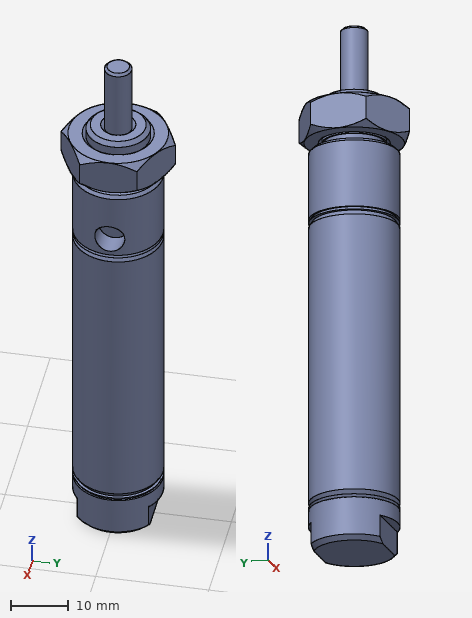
import cadquery as cq
import math


body_radius = 7.94
base_chamfer = 0.85
flat_height = 4.75
flat_spacing = 12.6
rear_crimp_low = 7.65
front_crimp_low = 59.5
crimp_tall, crimp_short = 0.9, 0.55
crimp_tall_depth, crimp_short_depth = 0.6, 0.35
shoulder_height = 73.6
shoulder_chamfer = 0.55

nose_radius = 5.6
nose_top = 83.4
nose_chamfer = 0.75
relief_radius = 5.33
rod_mouth_radius = 3.05

port_radius = 2.65
port_height = 64.4
port_depth = 4.0

rod_radius = 2.4
rod_top = 96.01
rod_chamfer = 0.45
rod_bottom = front_crimp_low + crimp_tall + crimp_short

nut_across_flats = 17.53
nut_across_corners = nut_across_flats / math.cos(math.pi / 6)
nut_bottom = 75.15
nut_height = 6.4
nut_top = nut_bottom + nut_height
nut_face_radius = 8.72
nut_chamfer_angle = 40.0
nut_mouth_radius = 6.25


def revolve_profile(points):
    """Revolve a closed (radius, height) outline about the Z axis."""
    return cq.Workplane("XZ").polyline(points).close().revolve(360, (0, 0), (0, 1))


def make_housing():
    rear_step = rear_crimp_low + crimp_short
    rear_crimp_top = rear_step + crimp_tall
    front_step = front_crimp_low + crimp_tall
    front_crimp_top = front_step + crimp_short
    housing = revolve_profile([
        (0, 0),
        (body_radius - base_chamfer, 0),
        (body_radius, base_chamfer),
        (body_radius, rear_crimp_low),
        (body_radius - crimp_short_depth, rear_crimp_low),
        (body_radius, rear_step),
        (body_radius - crimp_tall_depth, rear_step),
        (body_radius, rear_crimp_top),
        (body_radius, front_crimp_low),
        (body_radius - crimp_tall_depth, front_step),
        (body_radius, front_step),
        (body_radius - crimp_short_depth, front_crimp_top),
        (body_radius, front_crimp_top),
        (body_radius, shoulder_height - shoulder_chamfer),
        (body_radius - shoulder_chamfer, shoulder_height),
        (relief_radius, shoulder_height),
        (relief_radius, nut_bottom),
        (nose_radius, nut_bottom),
        (nose_radius, nose_top - nose_chamfer),
        (nose_radius - nose_chamfer, nose_top),
        (0, nose_top),
    ])
    return housing.cut(flat_cutters()).cut(rod_bore()).cut(side_port())


def flat_cutters():
    """Two blocks that leave wrench flats on the -Y and +Y sides of the base."""
    cutter_depth = body_radius
    offset = flat_spacing / 2 + cutter_depth / 2
    return (
        cq.Workplane("XY")
        .pushPoints([(0, -offset), (0, offset)])
        .box(2 * body_radius, cutter_depth, flat_height, centered=(True, True, False))
    )


def rod_bore():
    """Bore that fits the rod, with a 45 degree countersunk mouth."""
    mouth_depth = rod_mouth_radius - rod_radius
    return revolve_profile([
        (0, rod_bottom),
        (rod_radius, rod_bottom),
        (rod_radius, nose_top - mouth_depth),
        (rod_mouth_radius, nose_top),
        (0, nose_top),
    ])


def side_port():
    """Blind round port entering the head from +X."""
    port_floor = body_radius - port_depth
    return (
        cq.Workplane("YZ", origin=(port_floor, 0, port_height))
        .circle(port_radius)
        .extrude(port_depth)
    )


def make_rod():
    return (
        cq.Workplane("XY", origin=(0, 0, rod_bottom))
        .circle(rod_radius)
        .extrude(rod_top - rod_bottom)
        .faces(">Z")
        .chamfer(rod_chamfer)
    )


def make_nut():
    corner_radius = nut_across_corners / 2
    corner_drop = (corner_radius - nut_face_radius) * math.tan(math.radians(nut_chamfer_angle))
    mouth_depth = nut_mouth_radius - nose_radius
    hexagon = (
        cq.Workplane("XY", origin=(0, 0, nut_bottom))
        .polygon(6, nut_across_corners)
        .extrude(nut_height)
        .rotate((0, 0, 0), (0, 0, 1), 30)
    )
    ring = revolve_profile([
        (nose_radius, nut_bottom + mouth_depth),
        (nut_mouth_radius, nut_bottom),
        (nut_face_radius, nut_bottom),
        (corner_radius, nut_bottom + corner_drop),
        (corner_radius, nut_top - corner_drop),
        (nut_face_radius, nut_top),
        (nut_mouth_radius, nut_top),
        (nose_radius, nut_top - mouth_depth),
    ])
    return hexagon.intersect(ring)


housing = make_housing()
rod = make_rod()
nut = make_nut()

result = cq.Compound.makeCompound([housing.val(), rod.val(), nut.val()])